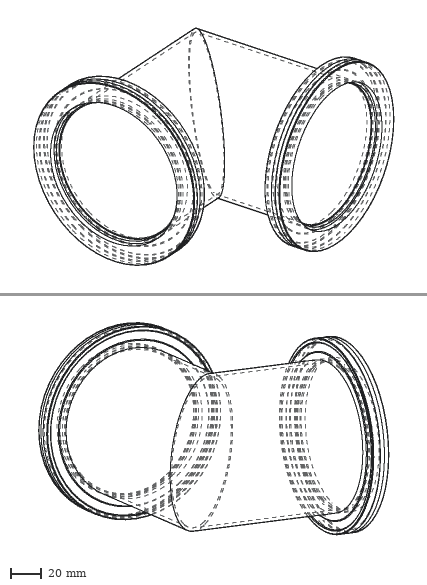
import cadquery as cq


leg_length = 105.0

tube_od = 101.6
tube_id = 97.0

flange_od = 130.0
flange_thickness = 12.0
edge_chamfer = 0.5
recess_dia = 102.1
recess_depth = 4.0
lip_dia = 98.55
lip_thickness = 3.0
socket_dia = tube_od

rim_groove_radius = 1.5
rim_groove_position = 5.0

back_groove_od = 125.0
back_groove_floor_id = 112.5
back_groove_depth = 0.6

tube_end = leg_length - recess_depth - lip_thickness


def make_tube():
    """Tube along +X, cut at its inner end by the 45 degree plane through the origin and Z."""
    tube_radius = tube_od / 2
    blank_length = tube_end + tube_radius
    tube = (
        cq.Workplane("YZ", origin=(-tube_radius, 0, 0))
        .circle(tube_radius)
        .circle(tube_id / 2)
        .extrude(blank_length)
    )
    mitre_wedge = (
        cq.Workplane("XY")
        .polyline([(-tube_radius, tube_radius), (tube_end, -tube_end), (tube_end, tube_radius)])
        .close()
        .extrude(tube_radius, both=True)
    )
    return tube.intersect(mitre_wedge)


def make_flange():
    """Flange revolved about X, its sealing face at the end of the +X leg."""
    face = leg_length
    back = face - flange_thickness
    back_floor = back + back_groove_depth
    rim = flange_od / 2
    groove_middle = face - rim_groove_position
    profile = (
        cq.Workplane("XY")
        .moveTo(face, recess_dia / 2)
        .lineTo(face, rim - edge_chamfer)
        .lineTo(face - edge_chamfer, rim)
        .lineTo(groove_middle + rim_groove_radius, rim)
        .threePointArc(
            (groove_middle, rim - rim_groove_radius),
            (groove_middle - rim_groove_radius, rim),
        )
        .lineTo(back + edge_chamfer, rim)
        .lineTo(back, rim - edge_chamfer)
        .lineTo(back, back_groove_od / 2)
        .lineTo(back_floor, back_groove_od / 2 - back_groove_depth)
        .lineTo(back_floor, back_groove_floor_id / 2)
        .lineTo(back, back_groove_floor_id / 2 - back_groove_depth)
        .lineTo(back, socket_dia / 2)
        .lineTo(tube_end, socket_dia / 2)
        .lineTo(tube_end, lip_dia / 2)
        .lineTo(tube_end + lip_thickness, lip_dia / 2)
        .lineTo(tube_end + lip_thickness, recess_dia / 2)
        .close()
    )
    return profile.revolve(360, (0, 0, 0), (1, 0, 0))


def on_y_leg(body):
    """Turn a body of the +X leg half a turn about the mitre line, onto the -Y leg."""
    return body.rotate((0, 0, 0), (1, -1, 0), 180)


tubes = [make_tube(), on_y_leg(make_tube())]
flanges = [make_flange(), on_y_leg(make_flange())]

result = cq.Compound.makeCompound([body.val() for body in tubes + flanges])